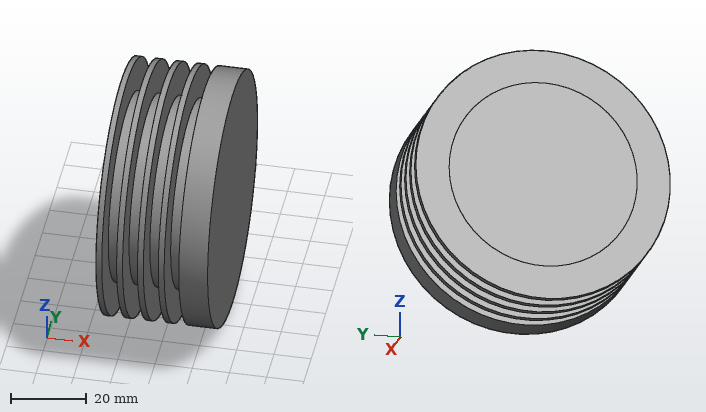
import cadquery as cq

outer_diameter = 69.0
core_diameter = 51.0
total_length = 30.0
flange_thickness = 7.7
fin_thickness = 1.6
fin_pitch = 5.6
fin_count = 4

left_end = -total_length / 2
flange_start = total_length / 2 - flange_thickness


def disc(start, thickness, diameter):
    """Solid disc on the X axis, running toward +X from start."""
    return cq.Workplane("YZ", origin=(start, 0, 0)).circle(diameter / 2).extrude(thickness)


def make_end_ring():
    """Separate outermost fin, fitted around the free end of the core."""
    bore = disc(left_end, fin_thickness, core_diameter)
    return disc(left_end, fin_thickness, outer_diameter).cut(bore)


def make_finned_core():
    """Core with the end flange and the remaining fins."""
    body = disc(left_end, total_length, core_diameter)
    body = body.union(disc(flange_start, flange_thickness, outer_diameter))
    for index in range(1, fin_count):
        fin_start = left_end + index * fin_pitch
        body = body.union(disc(fin_start, fin_thickness, outer_diameter))
    return body


end_ring = make_end_ring()
finned_core = make_finned_core()

result = cq.Compound.makeCompound([end_ring.val(), finned_core.val()])